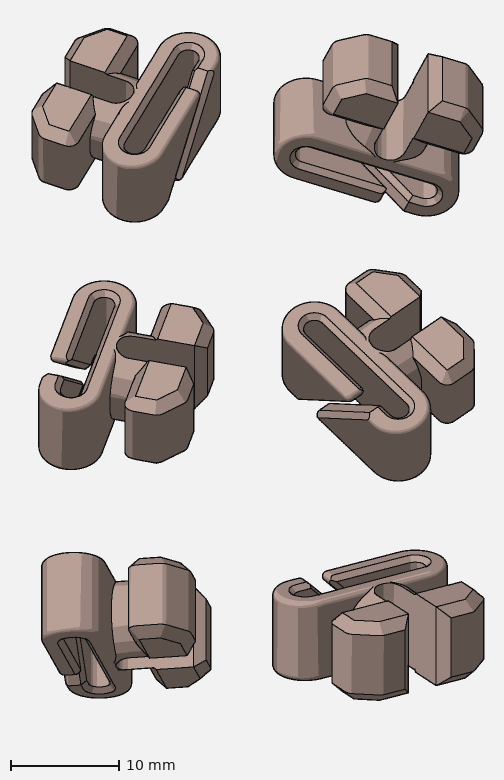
import cadquery as cq
import math

overall_width = 13.6
height = 8.0

ring_length = 18.0
ring_width = 6.0
ring_edge_radius = 0.5
opening_length = 14.0
opening_width = 2.0
opening_chamfer = 0.5

gap_width = 1.2
gap_angle = 45.0
gap_tip_radius = 0.49
gap_chamfer = 0.5
gap_small_chamfer = 0.27

head_depth = 5.5
head_span = 15.0
head_offset_y = -0.74
head_corner_x = 2.03
head_corner_y = 2.47
head_corner_radius = 1.0
head_chamfer = 0.99
slot_width = 3.0
slot_depth = 8.0
slot_mouth_chamfer = 1.0
neck_width = 8.0
neck_flat = 1.8

ring_left = -ring_width / 2
ring_right = ring_width / 2
head_front = ring_right - overall_width
head_back = head_front + head_depth


def upright_prism(profile, length=height):
    """Extrude an XY profile symmetrically about Z = 0."""
    return profile.extrude(length / 2, both=True)


def opening_funnel(end):
    """Chamfer cutter for the opening at the top (end = 1) or bottom (end = -1)."""
    mouth = cq.Workplane("XY").workplane(offset=end * height / 2)
    wide_length = opening_length + 2 * opening_chamfer
    wide_width = opening_width + 2 * opening_chamfer
    return (
        mouth.slot2D(wide_length, wide_width, 90)
        .workplane(offset=-end * opening_chamfer)
        .slot2D(opening_length, opening_width, 90)
        .loft(ruled=True)
    )


def gap_cutter(profile_points):
    """Long prism through the +X wall, tilted about the X axis."""
    profile = cq.Workplane("XY").polyline(profile_points).close()
    reach = height + ring_length
    return upright_prism(profile, reach).rotate((0, 0, 0), (1, 0, 0), -gap_angle)


def make_ring():
    """Stadium ring with its opening, split by the diagonal gap."""
    half_gap = gap_width / 2
    opening_wall = opening_width / 2
    ring = upright_prism(cq.Workplane("XY").slot2D(ring_length, ring_width, 90))

    ring = ring.cut(gap_cutter([
        (0, -half_gap),
        (ring_width, -half_gap),
        (ring_width, half_gap),
        (0, half_gap),
    ]))

    tilt = math.radians(gap_angle)
    tip_y = height / 2 * math.tan(tilt) - half_gap / math.cos(tilt)
    for end in (1, -1):
        tip = cq.selectors.NearestToPointSelector((ring_width / 4, end * tip_y, end * height / 2))
        ring = ring.edges("|X").edges(tip).fillet(gap_tip_radius)

    ring = ring.faces(">X or <X").edges("not |Z").fillet(ring_edge_radius)

    ring = ring.cut(upright_prism(cq.Workplane("XY").slot2D(opening_length, opening_width, 90)))
    for end in (1, -1):
        ring = ring.cut(opening_funnel(end))

    return ring.cut(gap_cutter([
        (opening_wall, -half_gap - gap_chamfer),
        (opening_wall + gap_chamfer, -half_gap),
        (ring_right, -half_gap),
        (ring_right, half_gap + gap_chamfer),
        (ring_right - gap_chamfer, half_gap),
        (opening_wall + gap_small_chamfer, half_gap),
        (opening_wall, half_gap + gap_small_chamfer),
    ]))


def make_head():
    """Head as one piece, before the slot splits it in two."""
    half_span = head_span / 2
    slope_start = half_span - head_corner_y
    head = upright_prism(
        cq.Workplane("XY")
        .moveTo(head_back, -half_span)
        .lineTo(head_front + head_corner_x, -half_span)
        .lineTo(head_front, -slope_start)
        .lineTo(head_front, slope_start)
        .lineTo(head_front + head_corner_x, half_span)
        .lineTo(head_back, half_span)
        .close()
    )
    head = head.edges("|Z").fillet(head_corner_radius)
    return head.faces("|Z").edges().chamfer(head_chamfer)


def make_neck():
    """Round bar with flats on all four sides, from inside the head to inside the ring."""
    start = head_front + head_depth / 2
    end = ring_left + ring_edge_radius
    neck_radius = math.hypot(neck_width / 2, neck_flat / 2)
    bar = cq.Workplane("YZ", origin=(start, 0, 0)).circle(neck_radius).extrude(end - start)
    flats = cq.Workplane("YZ", origin=(start, 0, 0)).rect(neck_width, height).extrude(end - start)
    return bar.intersect(flats)


def slot_cutter():
    """Round-ended slot from the front of the head, with a flared mouth."""
    half_slot = slot_width / 2
    mouth_half = half_slot + slot_mouth_chamfer
    slot_bottom = head_front + slot_depth
    arc_start = slot_bottom - half_slot
    return upright_prism(
        cq.Workplane("XY")
        .moveTo(head_front, -mouth_half)
        .lineTo(head_front + slot_mouth_chamfer, -half_slot)
        .lineTo(arc_start, -half_slot)
        .threePointArc((slot_bottom, 0), (arc_start, half_slot))
        .lineTo(head_front + slot_mouth_chamfer, half_slot)
        .lineTo(head_front, mouth_half)
        .close()
    )


def at_head(shape):
    """Move a shape centred on Y = 0 to the head's centre line."""
    return shape.translate((0, head_offset_y, 0))


result = (
    make_ring()
    .union(at_head(make_neck()))
    .union(at_head(make_head()))
    .cut(at_head(slot_cutter()))
)